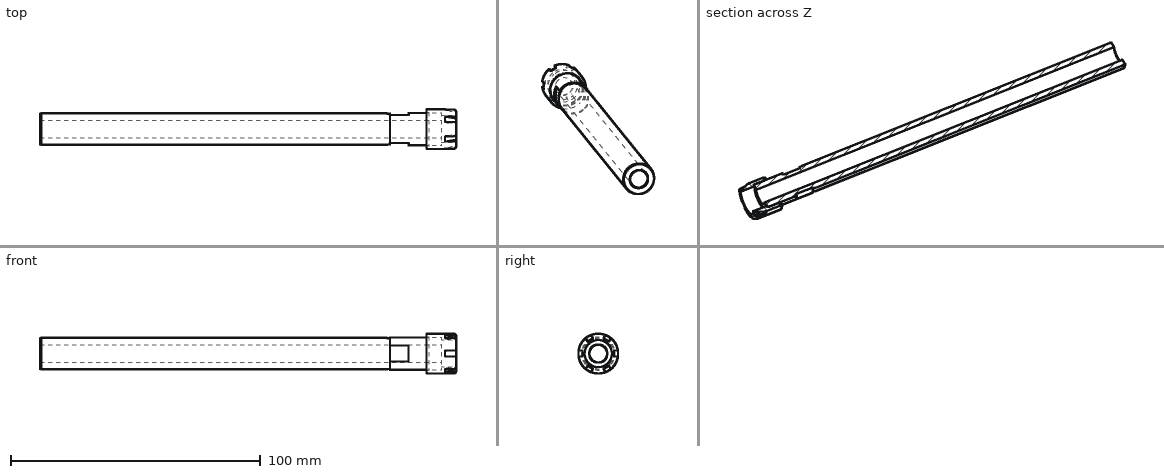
import cadquery as cq
import math

total_length = 166.62
nut_diameter = 16.0
shank_diameter = 12.7
head_diameter = 13.0
bore_diameter = 7.05

rear_chamfer_length = 0.5
rear_chamfer_depth = 0.25
bore_chamfer = 0.25

relief_diameter = 12.4
relief_start = 138.6
relief_taper = 0.5
head_start = 140.0
flat_end = 147.5
across_flats = 11.3

nut_length = 12.0
nut_start = total_length - nut_length
nut_rear_round = 0.5
nut_front_round = 1.25
nut_mouth_diameter = 13.4
nut_mouth_depth = 1.0
nut_opening_diameter = 10.9
nose_length = 6.0
nose_end = nut_start + nose_length

slot_count = 6
slot_width = 2.5
slot_length = 4.65
slot_floor_angle = 20.0


def revolve_about_x(profile):
    """Solid of revolution about the X axis from (x, radius) points."""
    return cq.Workplane("XY").polyline(profile).close().revolve(360, (0, 0, 0), (1, 0, 0))


def make_shank():
    """Bored shank whose wider head carries two wrench flats and enters the nut."""
    profile = [
        (0, bore_diameter / 2 + bore_chamfer),
        (0, shank_diameter / 2 - rear_chamfer_depth),
        (rear_chamfer_length, shank_diameter / 2),
        (relief_start, shank_diameter / 2),
        (relief_start + relief_taper, relief_diameter / 2),
        (head_start, relief_diameter / 2),
        (head_start, head_diameter / 2),
        (nose_end, head_diameter / 2),
        (nose_end, bore_diameter / 2),
        (bore_chamfer, bore_diameter / 2),
    ]
    body = revolve_about_x(profile)

    flat_length = flat_end - head_start
    for side in (-1, 1):
        cutter_y = side * (across_flats + head_diameter) / 2
        cutter = cq.Workplane("XY").box(flat_length, head_diameter, head_diameter)
        body = body.cut(cutter.translate((head_start + flat_length / 2, cutter_y, 0)))
    return body


def make_nut():
    """Round clamping nut with a smaller front opening and wrench slots around its front rim."""
    rim = nut_diameter / 2
    profile = [
        (nut_start, nut_mouth_diameter / 2),
        (nut_start, rim),
        (total_length, rim),
        (total_length, nut_opening_diameter / 2),
        (nose_end, nut_opening_diameter / 2),
        (nose_end, head_diameter / 2),
        (nut_start + nut_mouth_depth, head_diameter / 2),
        (nut_start + nut_mouth_depth, nut_mouth_diameter / 2),
    ]
    body = revolve_about_x(profile)
    body = body.faces("<X").edges(cq.selectors.RadiusNthSelector(-1)).fillet(nut_rear_round)
    body = body.faces(">X").edges(cq.selectors.RadiusNthSelector(-1)).fillet(nut_front_round)

    slot_start = total_length - slot_length
    slot_depth = slot_length * math.tan(math.radians(slot_floor_angle))
    slot = (
        cq.Workplane("XZ", origin=(0, slot_width / 2, 0))
        .moveTo(slot_start, rim)
        .lineTo(total_length, rim - slot_depth)
        .lineTo(total_length, nut_diameter)
        .lineTo(slot_start, nut_diameter)
        .close()
        .extrude(slot_width)
        .rotate((0, 0, 0), (1, 0, 0), 90)
    )
    for index in range(slot_count):
        body = body.cut(slot.rotate((0, 0, 0), (1, 0, 0), index * 360 / slot_count))
    return body


shank = make_shank()
nut = make_nut()
result = cq.Compound.makeCompound([shank.val(), nut.val()])